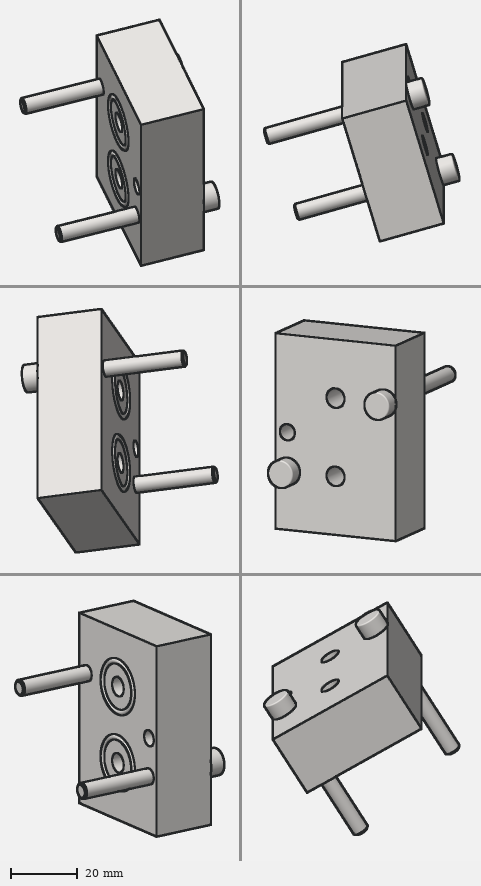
import cadquery as cq

block_width = 40.0
block_depth = 20.0
block_height = 60.0
front_y = -block_depth / 2
back_y = block_depth / 2

port_offset_z = 12.0
screw_offset_x = 16.0
screw_positions = [(-screw_offset_x, port_offset_z), (screw_offset_x, -port_offset_z)]
port_positions = [(0, port_offset_z), (0, -port_offset_z)]
side_hole_position = (screw_offset_x, 0)

port_diameter = 6.0
side_hole_diameter = 5.0

ring_centre_diameter = 15.85
ring_section_diameter = 1.8
ring_protrusion = 0.6

shank_diameter = 5.0
shank_projection = 25.0
shank_chamfer = 0.5
head_diameter = 8.45
head_height = 5.0
head_fillet = 0.4


def cylinder_along_y(position, diameter, start_y, end_y):
    """Cylinder parallel to Y, centred at an (x, z) position."""
    x, z = position
    return (
        cq.Workplane("XZ", origin=(x, end_y, z))
        .circle(diameter / 2)
        .extrude(end_y - start_y)
    )


def sealing_ring(position):
    """Round-section ring around a port, partly sunk into the front face."""
    x, z = position
    section_radius = ring_section_diameter / 2
    centre = cq.Vector(x, front_y - ring_protrusion + section_radius, z)
    ring = cq.Solid.makeTorus(ring_centre_diameter / 2, section_radius, centre, cq.Vector(0, 1, 0))
    return cq.Workplane(obj=ring)


def cap_screw(position):
    """Screw passing through the block, with its head against the back face."""
    shank = cylinder_along_y(position, shank_diameter, front_y - shank_projection, back_y)
    shank = shank.faces("<Y").chamfer(shank_chamfer)
    head = cylinder_along_y(position, head_diameter, back_y, back_y + head_height)
    head = head.faces(">Y").edges().fillet(head_fillet)
    return shank.union(head)


result = cq.Workplane("XY").box(block_width, block_depth, block_height)

for port in port_positions:
    bore = cylinder_along_y(port, port_diameter, front_y, back_y)
    result = result.cut(bore).union(sealing_ring(port))

result = result.cut(cylinder_along_y(side_hole_position, side_hole_diameter, front_y, back_y))

for screw in screw_positions:
    result = result.union(cap_screw(screw))